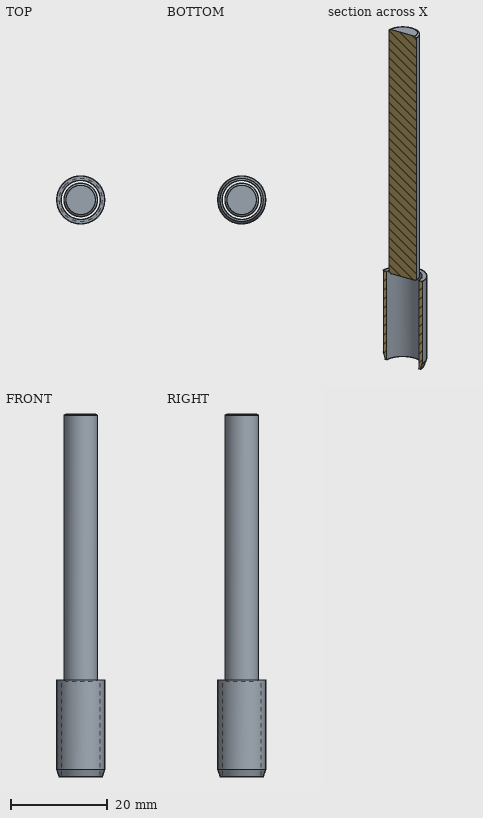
import cadquery as cq

total_height = 75.0

sleeve_diameter = 10.0
bore_diameter = 8.0
sleeve_height = 20.0
foot_taper_height = 1.5
foot_taper_inset = 0.5

pin_diameter = 7.0
pin_chamfer_height = 0.3
pin_chamfer_inset = 0.45


def make_sleeve():
    """Tube around the Z axis, standing on Z = 0."""
    outer_radius = sleeve_diameter / 2
    bore_radius = bore_diameter / 2
    profile = (
        cq.Workplane("XZ")
        .moveTo(bore_radius, 0)
        .lineTo(outer_radius - foot_taper_inset, 0)
        .lineTo(outer_radius, foot_taper_height)
        .lineTo(outer_radius, sleeve_height)
        .lineTo(bore_radius, sleeve_height)
        .close()
    )
    return profile.revolve(360, (0, 0, 0), (0, 1, 0))


def make_pin():
    """Round rod chamfered at both ends, rising from just inside the mouth of the sleeve."""
    pin_radius = pin_diameter / 2
    end_radius = pin_radius - pin_chamfer_inset
    pin_bottom = sleeve_height - pin_chamfer_height
    profile = (
        cq.Workplane("XZ")
        .moveTo(0, pin_bottom)
        .lineTo(end_radius, pin_bottom)
        .lineTo(pin_radius, pin_bottom + pin_chamfer_height)
        .lineTo(pin_radius, total_height - pin_chamfer_height)
        .lineTo(end_radius, total_height)
        .lineTo(0, total_height)
        .close()
    )
    return profile.revolve(360, (0, 0, 0), (0, 1, 0))


sleeve = make_sleeve()
pin = make_pin()

result = cq.Compound.makeCompound([sleeve.val(), pin.val()])